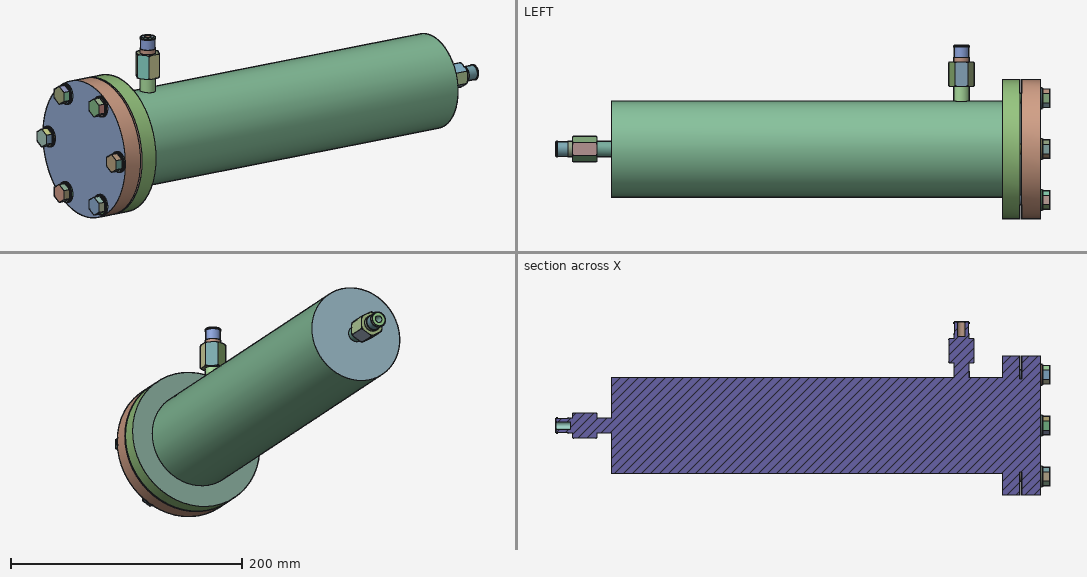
import cadquery as cq
import math

overall_length = 427.2
hexagon_sides = 6

flange_diameter = 120.5
cover_thickness = 16.2
gasket_thickness = 1.5
gasket_diameter = 81.0
flange_thickness = 15.0

bolt_count = 6
bolt_circle_diameter = 101.5
head_across_corners = 16.2
hexagon_height = 6.0
washer_diameter = 18.5
washer_thickness = 1.3
head_collar_diameter = 17.0
head_collar_thickness = 1.0
shank_diameter = 8.5

tube_diameter = 83.5

stub_diameter = 13.5
stub_length = 12.5
nut_across_flats = 19.2
nut_length = 21.5
nut_chamfer = 1.0
collar_length = 4.0
tip_diameter = 13.0
lip_length = 1.5
lip_chamfer = 1.0
fitting_length = 48.3
bore_diameter = 6.0
bore_depth = 13.0
side_fitting_station = 76.5

washer_start = hexagon_height + head_collar_thickness
cover_face = washer_start + washer_thickness
gasket_face = cover_face + cover_thickness
flange_face = gasket_face + gasket_thickness
tube_start = flange_face + flange_thickness
tube_end = overall_length - fitting_length


def disc(diameter, start, length):
    """Disc on the vessel axis, growing toward +Y from the given station."""
    plane = cq.Plane(origin=(0, start, 0), xDir=(1, 0, 0), normal=(0, 1, 0))
    return cq.Workplane(plane).circle(diameter / 2).extrude(length)


def make_fitting():
    """Fitting standing on the origin and pointing along +Z, with nut corners on the Y axis."""
    nut_top = stub_length + nut_length
    corner_radius = nut_across_flats / math.sqrt(3)
    lip_start = fitting_length - lip_length
    profile = [
        (0, -stub_diameter / 2),
        (stub_diameter / 2, -stub_diameter / 2),
        (stub_diameter / 2, nut_top + collar_length),
        (tip_diameter / 2, nut_top + collar_length),
        (tip_diameter / 2, lip_start),
        (stub_diameter / 2, lip_start),
        (stub_diameter / 2, fitting_length - lip_chamfer),
        (stub_diameter / 2 - lip_chamfer, fitting_length),
        (0, fitting_length),
    ]
    spindle = cq.Workplane("XZ").polyline(profile).close().revolve(360, (0, 0), (0, 1))
    nut = (
        cq.Workplane("XY")
        .workplane(offset=stub_length)
        .polygon(hexagon_sides, 2 * corner_radius)
        .extrude(nut_length)
        .rotate((0, 0, 0), (0, 0, 1), 90)
    )
    nut_envelope = (
        cq.Workplane("XY")
        .workplane(offset=stub_length)
        .circle(corner_radius)
        .extrude(nut_length)
        .faces("<Z or >Z")
        .chamfer(nut_chamfer)
    )
    bore = (
        cq.Workplane("XY")
        .workplane(offset=fitting_length - bore_depth)
        .circle(bore_diameter / 2)
        .extrude(bore_depth)
    )
    return spindle.union(nut.intersect(nut_envelope)).cut(bore)


def make_bolt():
    """Bolt on the vessel axis: hexagonal head, round collar, washer and a shank through the flange."""
    plane = cq.Plane(origin=(0, 0, 0), xDir=(0, 0, 1), normal=(0, 1, 0))
    head = cq.Workplane(plane).polygon(hexagon_sides, head_across_corners).extrude(hexagon_height)
    collar = disc(head_collar_diameter, hexagon_height, head_collar_thickness)
    washer = disc(washer_diameter, washer_start, washer_thickness)
    shank = disc(shank_diameter, cover_face, tube_start - cover_face)
    return head.union(collar).union(washer).union(shank)


body = (
    disc(flange_diameter, cover_face, cover_thickness)
    .union(disc(gasket_diameter, gasket_face, gasket_thickness))
    .union(disc(flange_diameter, flange_face, flange_thickness))
    .union(disc(tube_diameter, tube_start, tube_end - tube_start))
)

bolt = make_bolt()
for i in range(bolt_count):
    angle = 2 * math.pi * i / bolt_count
    x = bolt_circle_diameter / 2 * math.cos(angle)
    z = bolt_circle_diameter / 2 * math.sin(angle)
    body = body.union(bolt.translate((x, 0, z)))

fitting = make_fitting()
side_fitting = fitting.translate((0, side_fitting_station, tube_diameter / 2))
end_fitting = fitting.rotate((0, 0, 0), (1, 0, 0), -90).translate((0, tube_end, 0))

result = body.union(side_fitting).union(end_fitting)